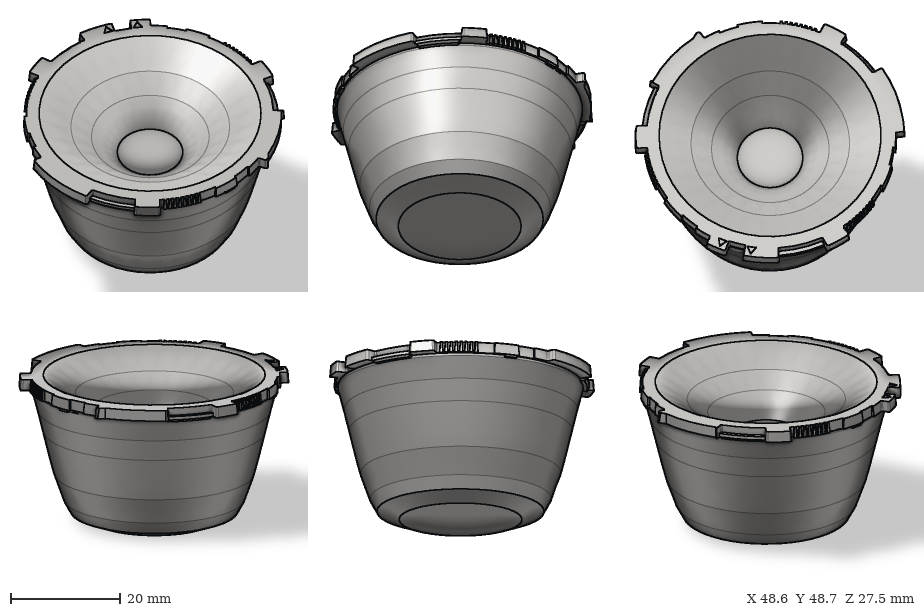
import cadquery as cq
import math

flange_thickness = 2.0
neck_bottom = -2.45
neck_radius = 22.45
upper_wall_rings = [(neck_radius, neck_bottom), (21.4, -6.5), (20.45, -10.5)]
wall_bulge_point = (19.45, -14.55)
lower_wall_rings = [(18.4, -18.55), (16.6, -23.5), (15.3, -25.9)]
base_radius = 11.25
base_height = -27.45

funnel_rings = [(20.35, 0), (14.55, -3.35), (10.75, -5.9)]
funnel_bulge_point = (8.3, -7.75)
funnel_floor = (6.0, -9.95)

flange_draft = 4
flange_radius = 22.75
raised_radius = 23.15
lug_radius = 24.7
lug_corner_rounding = 0.35
lug_root_rounding = 0.25
edge_search_depth = 0.5
edge_angle_tolerance = 1.0
steep_edge_height = 1.2
lug_side_lean = 1.0
sector_root_radius = 21.45
sector_reach = 27.3
sector_overlap = 1.0
sector_count = 3
sector_pitch = 360 / sector_count

recess_half_angle = 4.1
wide_lug = (11.4, 45.0)
window = (wide_lug[1], 65.0)
narrow_lug = (window[1], 77.4)
knurl_tooth_count = 8
knurl_pitch = 2.3
knurl_first_tooth = 79.3
knurl_tooth_half_angle = 1.1
knurl_side_lean = 1.0
plain_rim_start = 103.8

lip_radius = 23.6
lip_thickness = 0.65
lip_pad_taper = 40

foot_angle = 112.0
foot_half_angle = 3.0
foot_taper = 20

trim_radius = 24.1
trim_root_angles = (16.3, 43.3)
trim_tip_angles = (13.4, 44.4)

notch_center = 145.0
notch_half_angle = 3.7
notch_radius = 22.6
arrow_offset_angle = 7.0
arrow_center_radius = 23.1
arrow_circumscribed_diameter = 1.85
arrow_depth = 0.1

flange_bottom = -flange_thickness
pad_height = flange_bottom - neck_bottom


def polar(radius, angle):
    return radius * math.cos(math.radians(angle)), radius * math.sin(math.radians(angle))


def drafted_disk(radius, height, draft):
    """Disk grown from the flange underside, up or down, narrowing away from it."""
    end_radius = radius - abs(height) * math.tan(math.radians(draft))
    end_height = flange_bottom + height
    profile = (
        cq.Workplane("XZ")
        .polyline([(0, flange_bottom), (radius, flange_bottom), (end_radius, end_height), (0, end_height)])
        .close()
    )
    return profile.revolve(360, (0, 0), (0, 1))


def sector_wedge(angles, height, draft, side_lean=0.0):
    """Wedge between two angles; each side closes in by side_lean degrees up to the sector reach."""
    corners = [
        polar(sector_root_radius, angles[0]),
        polar(sector_reach, angles[0] + side_lean),
        polar(sector_reach, angles[1] - side_lean),
        polar(sector_root_radius, angles[1]),
    ]
    base = cq.Workplane("XY", origin=(0, 0, flange_bottom))
    return base.polyline(corners).close().extrude(height, taper=draft)


def drafted_sector(radius, angles, height, draft, side_lean=0.0):
    wedge = sector_wedge(angles, height, draft, side_lean)
    return drafted_disk(radius, height, draft).intersect(wedge)


def rim_sector(radius, angles, thickness=flange_thickness):
    return drafted_sector(radius, angles, thickness, flange_draft)


def lug(angles):
    return drafted_sector(lug_radius, angles, flange_thickness, flange_draft, lug_side_lean)


def knurl_tooth(center):
    angles = (center - knurl_tooth_half_angle, center + knurl_tooth_half_angle)
    return drafted_sector(raised_radius, angles, flange_thickness, flange_draft, knurl_side_lean)


def pad(radius, angles, taper):
    """Pad hanging from the flange underside, narrowing downward."""
    return drafted_sector(radius, angles, -pad_height, taper)


def ring_cutter(inner_radius, outer_radius, root_angles, tip_angles):
    """Ring sector through the flange, its sides running from root to tip angles."""
    middle = sum(root_angles) / 2
    outline = (
        cq.Workplane("XY", origin=(0, 0, flange_bottom))
        .moveTo(*polar(inner_radius, root_angles[0]))
        .lineTo(*polar(outer_radius, tip_angles[0]))
        .threePointArc(polar(outer_radius, middle), polar(outer_radius, tip_angles[1]))
        .lineTo(*polar(inner_radius, root_angles[1]))
        .threePointArc(polar(inner_radius, middle), polar(inner_radius, root_angles[0]))
        .close()
    )
    return outline.extrude(flange_thickness)


def flange_third():
    pieces = [
        rim_sector(raised_radius, (recess_half_angle, wide_lug[0] + sector_overlap)),
        lug(wide_lug),
        rim_sector(lip_radius, (window[0] - sector_overlap, window[1] + sector_overlap), lip_thickness),
        pad(lip_radius, window, lip_pad_taper),
        lug(narrow_lug),
        rim_sector(raised_radius, (plain_rim_start, sector_pitch - recess_half_angle)),
        pad(raised_radius, (foot_angle - foot_half_angle, foot_angle + foot_half_angle), foot_taper),
    ]
    for i in range(knurl_tooth_count):
        pieces.append(knurl_tooth(knurl_first_tooth + i * knurl_pitch))
    return pieces


def bowl():
    profile = cq.Workplane("XZ").moveTo(0, 0).lineTo(neck_radius, 0)
    for ring in upper_wall_rings:
        profile = profile.lineTo(*ring)
    profile = profile.threePointArc(wall_bulge_point, lower_wall_rings[0])
    for ring in lower_wall_rings[1:]:
        profile = profile.lineTo(*ring)
    profile = profile.lineTo(base_radius, base_height).lineTo(0, base_height).close()
    return profile.revolve(360, (0, 0), (0, 1))


def funnel():
    profile = cq.Workplane("XZ").moveTo(0, 0)
    for ring in funnel_rings:
        profile = profile.lineTo(*ring)
    profile = profile.threePointArc(funnel_bulge_point, funnel_floor)
    profile = profile.lineTo(0, funnel_floor[1]).close()
    return profile.revolve(360, (0, 0), (0, 1))


def lug_trim():
    return ring_cutter(trim_radius, lug_radius, trim_root_angles, trim_tip_angles)


def lug_notch():
    """Wedge that widens upward with the draft and stops at the notch floor."""
    angles = (notch_center - notch_half_angle, notch_center + notch_half_angle)
    wedge = sector_wedge(angles, flange_thickness, -flange_draft)
    return wedge.cut(drafted_disk(notch_radius, flange_thickness, flange_draft))


def upright_edges(body, inner_radius, outer_radius, angles):
    """Steep flange edges between two radii, near the given angles of any third."""
    repeated_angles = [a + i * sector_pitch for a in angles for i in range(sector_count)]

    def chosen(edge):
        center = edge.Center()
        angle = math.degrees(math.atan2(center.y, center.x)) % 360
        steep = edge.BoundingBox().zlen > steep_edge_height
        in_ring = inner_radius < math.hypot(center.x, center.y) < outer_radius
        near = any(abs(angle - a) < edge_angle_tolerance for a in repeated_angles)
        return steep and in_ring and near and center.z > flange_bottom

    return body.edges().filter(chosen)


def arrow(angle):
    triangle = (
        cq.Workplane("XY", origin=(arrow_center_radius, 0, -arrow_depth))
        .polygon(3, arrow_circumscribed_diameter)
        .extrude(arrow_depth)
    )
    return triangle.rotate((0, 0, 0), (0, 0, 1), angle)


result = bowl().union(drafted_disk(flange_radius, flange_thickness, flange_draft))
for piece in flange_third():
    for i in range(sector_count):
        result = result.union(piece.rotate((0, 0, 0), (0, 0, 1), i * sector_pitch))
result = result.cut(lug_notch())

notch_sides = (notch_center - notch_half_angle, notch_center + notch_half_angle)
lug_sides = wide_lug + narrow_lug
tips = upright_edges(result, lug_radius - edge_search_depth, lug_radius, lug_sides + notch_sides)
result = tips.fillet(lug_corner_rounding)
roots = upright_edges(result, notch_radius - edge_search_depth, raised_radius, lug_sides + notch_sides)
result = roots.fillet(lug_root_rounding)

result = result.cut(lug_trim()).cut(funnel())
for side in (-1, 1):
    result = result.cut(arrow(notch_center + side * arrow_offset_angle))